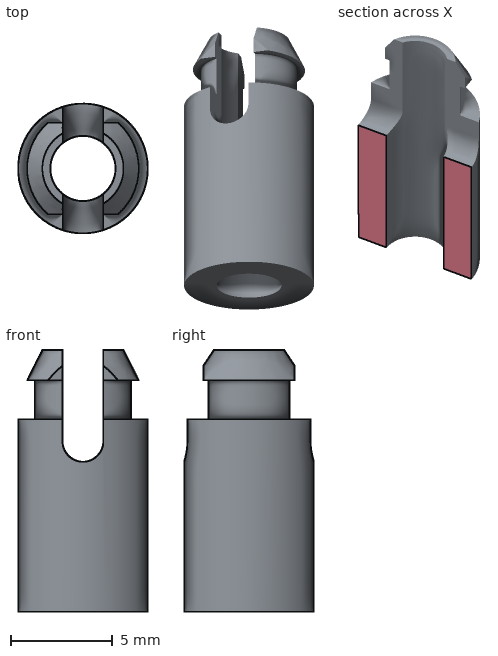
import cadquery as cq

body_diameter = 6.4
body_height = 9.5
bore_diameter = 3.2

overall_height = 12.9
barb_base_height = 11.4

neck_reach = 2.375
barb_base_reach = 2.75
barb_top_reach = 2.0

neck_radius = 2.15
barb_base_radius = 3.0
barb_top_radius = 2.0

head_width_across_flats = 4.5

slot_width = 2.0
slot_bottom_height = 7.4


def make_body():
    return cq.Workplane("XY").circle(body_diameter / 2).extrude(body_height)


def make_neck():
    """Round neck of the -X prong, rising from inside the body to the barb."""
    return (
        cq.Workplane("XY")
        .center(neck_radius - neck_reach, 0)
        .circle(neck_radius)
        .extrude(barb_base_height)
    )


def make_barb():
    """Slanted cone of the -X prong, lofted between its base and top circles."""
    base_center_x = barb_base_radius - barb_base_reach
    top_center_x = barb_top_radius - barb_top_reach
    return (
        cq.Workplane("XY", origin=(base_center_x, 0, barb_base_height))
        .circle(barb_base_radius)
        .workplane(offset=overall_height - barb_base_height)
        .center(top_center_x - base_center_x, 0)
        .circle(barb_top_radius)
        .loft(ruled=True)
    )


def make_prong():
    """The -X half of the head, trimmed to the flats."""
    half_slab = cq.Workplane("XY", origin=(-body_diameter / 2, 0, 0)).box(
        body_diameter / 2,
        head_width_across_flats,
        overall_height,
        centered=(False, True, False),
    )
    return make_neck().union(make_barb()).intersect(half_slab)


def make_bore():
    return cq.Workplane("XY").circle(bore_diameter / 2).extrude(overall_height)


def make_slot():
    radius = slot_width / 2
    arc_center_height = slot_bottom_height + radius
    return (
        cq.Workplane("XZ")
        .moveTo(-radius, overall_height)
        .lineTo(-radius, arc_center_height)
        .threePointArc((0, slot_bottom_height), (radius, arc_center_height))
        .lineTo(radius, overall_height)
        .close()
        .extrude(body_diameter / 2, both=True)
    )


prong = make_prong()
head = prong.union(prong.mirror("YZ"))
result = make_body().union(head).cut(make_bore()).cut(make_slot())